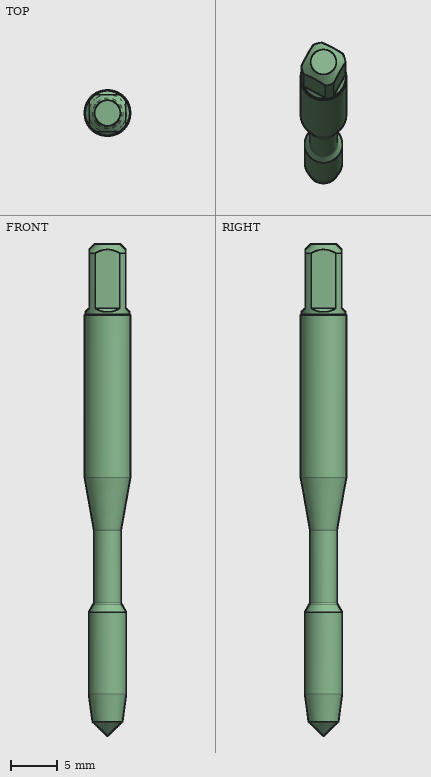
import cadquery as cq
import math

tip_base_z = 1.6
lead_top_z = 4.6
joint_z = 13.45
taper_bottom_z = 22.35
taper_top_z = 28.05
shoulder_z = 45.6
flat_bottom_z = 46.35
total_length = 53.35

tip_diameter = 3.3
thread_diameter = 4.1
neck_diameter = 3.0
shank_diameter = 5.0
drive_diameter = 4.8
end_face_diameter = 2.8

square_width = 4.0
collar_half_angle = math.radians(30)
neck_blend_radius = 0.5

collar_height = (thread_diameter - neck_diameter) / 2 / math.tan(collar_half_angle)
shoulder_chamfer = (shank_diameter - drive_diameter) / 2
end_chamfer = (drive_diameter - end_face_diameter) / 2


def revolve_profile(stations):
    """Revolve a profile given as (diameter, height) stations about the Z axis."""
    points = [(diameter / 2, z) for diameter, z in stations]
    bottom_z = stations[0][1]
    top_z = stations[-1][1]
    outline = [(0, bottom_z), *points, (0, top_z)]
    if stations[0][0] == 0:
        outline = outline[1:]
    return cq.Workplane("XZ").polyline(outline).close().revolve(360, (0, 0), (0, 1))


def make_cutting_part():
    """Pointed tip, tapered lead and full-diameter thread section."""
    return revolve_profile([
        (0, 0),
        (tip_diameter, tip_base_z),
        (thread_diameter, lead_top_z),
        (thread_diameter, joint_z),
    ])


def make_flat_cutter():
    """Remove material outside one drive flat, with a 45 degree run-out at its base."""
    inner = square_width / 2
    outer = shank_diameter
    run_out = outer - inner
    outline = [
        (inner, flat_bottom_z),
        (outer, flat_bottom_z - run_out),
        (outer, total_length),
        (inner, total_length),
    ]
    return cq.Workplane("XZ").polyline(outline).close().extrude(shank_diameter / 2, both=True)


def make_shank():
    """Collar, neck, taper and round shank, ending in a square drive."""
    shank = revolve_profile([
        (thread_diameter, joint_z),
        (neck_diameter, joint_z + collar_height),
        (neck_diameter, taper_bottom_z),
        (shank_diameter, taper_top_z),
        (shank_diameter, shoulder_z),
        (drive_diameter, shoulder_z + shoulder_chamfer),
        (drive_diameter, total_length - end_chamfer),
        (end_face_diameter, total_length),
    ])

    neck_ends = cq.selectors.RadiusNthSelector(1)
    shank = shank.edges("%CIRCLE").edges(neck_ends).fillet(neck_blend_radius)

    flat_cutter = make_flat_cutter()
    for angle in (0, 90, 180, 270):
        shank = shank.cut(flat_cutter.rotate((0, 0, 0), (0, 0, 1), angle))
    return shank


cutting_part = make_cutting_part()
shank = make_shank()

result = cq.Compound.makeCompound([cutting_part.val(), shank.val()])